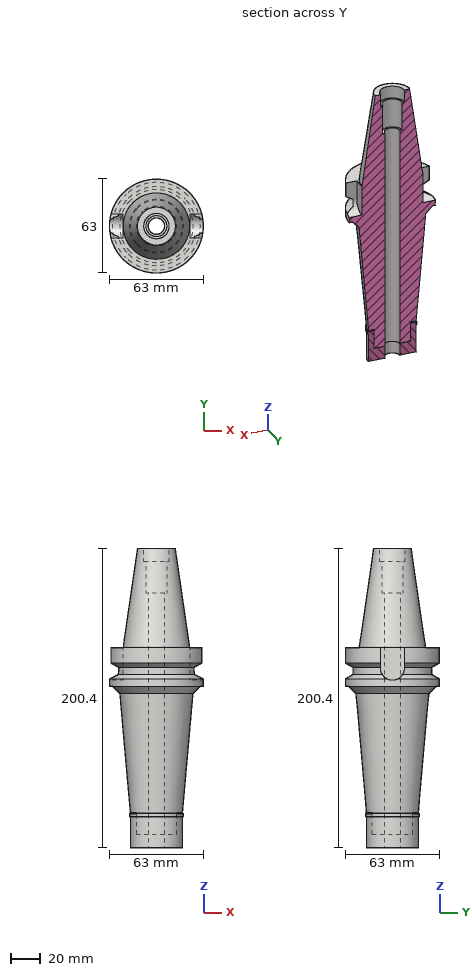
import cadquery as cq
import math

shank_length = 65.4
gauge_radius = 44.45 / 2
taper_ratio = 7 / 24
shank_tip_radius = gauge_radius - shank_length * taper_ratio / 2

flange_radius = 63.0 / 2
flange_top_z = -1.0
flange_bottom_z = -27.0
groove_root_radius = 53.0 / 2
groove_top_z = -11.4
groove_root_width = 4.7
groove_wall_angle = 30.0
groove_wall_height = (flange_radius - groove_root_radius) * math.tan(math.radians(groove_wall_angle))
root_top_z = groove_top_z - groove_wall_height
root_bottom_z = root_top_z - groove_root_width
groove_bottom_z = root_bottom_z - groove_wall_height

slot_width = 16.1
slot_floor_x = 22.5
slot_bottom_z = -22.8

shoulder_radius = 29.4
body_top_radius = 24.55
body_top_z = flange_bottom_z - (shoulder_radius - body_top_radius)
body_bottom_radius = 17.5
body_bottom_z = -111.6

overall_bottom_z = -135.0
nut_radius = 17.5
nut_collar_radius = 18.0
nut_gap = 0.5
nut_top_z = body_bottom_z - nut_gap
nut_collar_height = 1.9
nut_collar_chamfer = nut_collar_radius - nut_radius
nut_collar_bottom_z = nut_top_z - nut_collar_height

spigot_radius = 13.5
spigot_engagement = 14.0
spigot_bottom_z = nut_top_z - spigot_engagement

mouth_radius = 8.5
mouth_depth = 8.9
thread_radius = 7.0
thread_depth = 30.0
through_radius = 5.4


def revolve_profile(points):
    """Solid of revolution about Z from (radius, z) points."""
    return cq.Workplane("XZ").polyline(points).close().revolve(360, (0, 0), (0, 1))


def bore(radius, top_z, bottom_z):
    """Cylinder on the Z axis between two heights."""
    return cq.Workplane("XY").workplane(offset=bottom_z).circle(radius).extrude(top_z - bottom_z)


def drive_slot(side):
    """Cutter for one round-bottomed slot; side is +1 or -1 along X."""
    round_radius = slot_width / 2
    arc_center_z = slot_bottom_z + round_radius
    return (
        cq.Workplane("YZ", origin=(side * slot_floor_x, 0, 0))
        .moveTo(-round_radius, flange_top_z)
        .lineTo(-round_radius, arc_center_z)
        .threePointArc((0, slot_bottom_z), (round_radius, arc_center_z))
        .lineTo(round_radius, flange_top_z)
        .close()
        .extrude(side * flange_radius)
    )


def make_holder():
    """Taper shank, flange, tapered body and spigot in one turned piece."""
    holder = revolve_profile([
        (0, shank_length),
        (shank_tip_radius, shank_length),
        (gauge_radius, 0),
        (gauge_radius, flange_top_z),
        (flange_radius, flange_top_z),
        (flange_radius, groove_top_z),
        (groove_root_radius, root_top_z),
        (groove_root_radius, root_bottom_z),
        (flange_radius, groove_bottom_z),
        (flange_radius, flange_bottom_z),
        (shoulder_radius, flange_bottom_z),
        (body_top_radius, body_top_z),
        (body_bottom_radius, body_bottom_z),
        (spigot_radius, body_bottom_z),
        (spigot_radius, spigot_bottom_z),
        (0, spigot_bottom_z),
    ])
    for side in (-1, 1):
        holder = holder.cut(drive_slot(side))
    holder = holder.cut(bore(mouth_radius, shank_length, shank_length - mouth_depth))
    holder = holder.cut(bore(thread_radius, shank_length, shank_length - thread_depth))
    return holder.cut(bore(through_radius, shank_length, spigot_bottom_z))


def make_nut():
    """Cap nut with a collar at its top rim and a recess for the spigot."""
    return revolve_profile([
        (spigot_radius, nut_top_z),
        (nut_collar_radius, nut_top_z),
        (nut_collar_radius, nut_collar_bottom_z),
        (nut_radius, nut_collar_bottom_z - nut_collar_chamfer),
        (nut_radius, overall_bottom_z),
        (through_radius, overall_bottom_z),
        (through_radius, spigot_bottom_z),
        (spigot_radius, spigot_bottom_z),
    ])


holder = make_holder()
nut = make_nut()
result = cq.Compound.makeCompound([holder.val(), nut.val()])